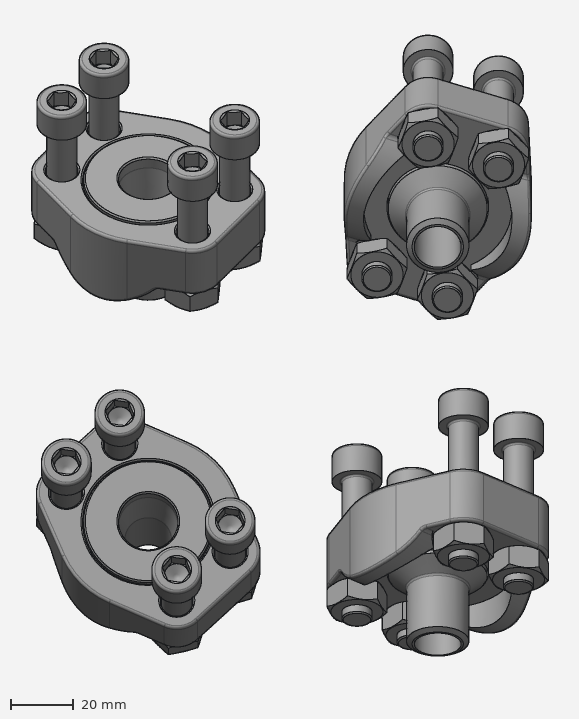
import cadquery as cq
import math


bolt_spacing_x = 50.8
bolt_spacing_y = 23.8
bolt_x = bolt_spacing_x / 2
bolt_y = bolt_spacing_y / 2
bolt_points = [(sx * bolt_x, sy * bolt_y) for sx in (-1, 1) for sy in (-1, 1)]

flange_width = 70.05
flange_length = 59.9
flange_thickness = 18.9
flange_half_width = flange_width / 2
flange_lobe_radius = flange_length / 2
flange_corner_radius = flange_half_width - bolt_x
flange_edge_radius = 1.0

boss_depth = 9.6
boss_radius = 24.9
boss_root_fillet = 2.0
underside_recess_radius = 23.7
nut_seat_diameter = 20.0

clearance_hole_diameter = 10.5
hole_chamfer = 0.5
disc_recess_diameter = 42.0
neck_bore_diameter = 32.5

disc_diameter = 41.3
disc_thickness = 10.6
disc_projection = 0.6
neck_diameter = 31.6
neck_end_z = -0.9
pipe_diameter = 20.0
taper_end_z = -5.5
taper_fillet = 1.0
pipe_end_z = -25.5
insert_chamfer = 0.5
weld_bevel_height = 1.05
weld_bevel_width = 1.8
mouth_diameter = 19.0
mouth_depth = 4.3
bore_diameter = 15.0
bore_taper_length = 14.0

shank_diameter = 9.7
head_diameter = 16.0
head_height = 10.0
head_edge_radius = 1.0
head_top_z = 49.1
shank_length = 50.0
neck_fillet = 0.6
tip_chamfer = 0.45
socket_flats = 8.0
socket_depth = 6.0
socket_chamfer_diameter = 9.5
socket_chamfer_angle = 30.0
socket_turn = 37.5
drill_point_angle = 120.0

nut_flats = 17.0
nut_height = 8.0
nut_face_diameter = 16.7
nut_chamfer_angle = 30.0


def cylinder(diameter, z_bottom, z_top):
    """Cylinder on the Z axis between two heights."""
    return cq.Workplane("XY", origin=(0, 0, z_bottom)).circle(diameter / 2).extrude(z_top - z_bottom)


def cone(diameter_bottom, diameter_top, z_bottom, z_top):
    """Cone or frustum on the Z axis between two heights."""
    height = z_top - z_bottom
    solid = cq.Solid.makeCone(diameter_bottom / 2, diameter_top / 2, height, cq.Vector(0, 0, z_bottom))
    return cq.Workplane(obj=solid)


def across_corners(across_flats):
    """Corner-to-corner width of a hexagon."""
    return across_flats / math.cos(math.pi / 6)


def hexagon(across_flats, z_bottom, height):
    """Hexagonal prism on the Z axis with two corners in the XZ plane."""
    corner_diameter = across_corners(across_flats)
    return cq.Workplane("XY", origin=(0, 0, z_bottom)).polygon(6, corner_diameter).extrude(height)


def edges_between(z_bottom, z_top):
    """Selector for edges whose centre lies between two heights."""
    reach = flange_width
    margin = 0.1
    return cq.selectors.BoxSelector((-reach, -reach, z_bottom - margin), (reach, reach, z_top + margin))


def flange_outline(z_bottom, height):
    """Lobe arcs and bolt corner arcs joined by their common tangents."""
    centre_distance = math.hypot(bolt_x, bolt_y)
    radius_step = flange_lobe_radius - flange_corner_radius
    tangent_angle = math.atan2(bolt_y, bolt_x) + math.acos(radius_step / centre_distance)
    ux, uy = math.cos(tangent_angle), math.sin(tangent_angle)
    lobe_x, lobe_y = flange_lobe_radius * ux, flange_lobe_radius * uy
    corner_x, corner_y = bolt_x + flange_corner_radius * ux, bolt_y + flange_corner_radius * uy
    mid_x = bolt_x + flange_corner_radius * math.cos(tangent_angle / 2)
    mid_y = bolt_y + flange_corner_radius * math.sin(tangent_angle / 2)
    return (
        cq.Workplane("XY", origin=(0, 0, z_bottom))
        .moveTo(flange_half_width, -bolt_y)
        .lineTo(flange_half_width, bolt_y)
        .threePointArc((mid_x, mid_y), (corner_x, corner_y))
        .lineTo(lobe_x, lobe_y)
        .threePointArc((0, flange_lobe_radius), (-lobe_x, lobe_y))
        .lineTo(-corner_x, corner_y)
        .threePointArc((-mid_x, mid_y), (-flange_half_width, bolt_y))
        .lineTo(-flange_half_width, -bolt_y)
        .threePointArc((-mid_x, -mid_y), (-corner_x, -corner_y))
        .lineTo(-lobe_x, -lobe_y)
        .threePointArc((0, -flange_lobe_radius), (lobe_x, -lobe_y))
        .lineTo(corner_x, -corner_y)
        .threePointArc((mid_x, -mid_y), (flange_half_width, -bolt_y))
        .close()
        .extrude(height)
    )


def flange_side_profile():
    """Block with a flat underside and an arc boss in the middle, extruded along Y."""
    arc_centre_z = boss_radius - boss_depth
    boss_half_width = math.sqrt(boss_radius**2 - arc_centre_z**2)
    block = (
        cq.Workplane("XZ")
        .moveTo(-flange_half_width, flange_thickness)
        .lineTo(-flange_half_width, 0)
        .lineTo(-boss_half_width, 0)
        .threePointArc((0, -boss_depth), (boss_half_width, 0))
        .lineTo(flange_half_width, 0)
        .lineTo(flange_half_width, flange_thickness)
        .close()
        .extrude(flange_lobe_radius, both=True)
    )
    for side in (-1, 1):
        root_edge = cq.selectors.NearestToPointSelector((side * boss_half_width, 0, 0))
        block = block.edges("|Y").edges(root_edge).fillet(boss_root_fillet)
    return block


def countersink(hole_diameter):
    """Cutter for the 45 degree chamfer of a hole in the flange's top face."""
    rim_diameter = hole_diameter + 2 * hole_chamfer
    return cone(hole_diameter, rim_diameter, flange_thickness - hole_chamfer, flange_thickness)


def make_flange():
    body = flange_outline(-boss_depth, boss_depth + flange_thickness).intersect(flange_side_profile())
    body = body.faces(">Z").edges().fillet(flange_edge_radius)
    underside_edges = edges_between(-boss_depth, 0)
    body = body.edges(underside_edges).edges("not(|Y)").fillet(flange_edge_radius)

    body = body.cut(cylinder(2 * underside_recess_radius, -boss_depth, 0))
    for x, y in bolt_points:
        body = body.cut(cylinder(nut_seat_diameter, -boss_depth, 0).translate((x, y, 0)))

    ledge_z = flange_thickness + disc_projection - disc_thickness
    body = body.cut(cylinder(neck_bore_diameter, 0, flange_thickness))
    body = body.cut(cylinder(disc_recess_diameter, ledge_z, flange_thickness))
    body = body.cut(countersink(disc_recess_diameter))

    hole = cylinder(clearance_hole_diameter, 0, flange_thickness)
    hole = hole.union(countersink(clearance_hole_diameter))
    for x, y in bolt_points:
        body = body.cut(hole.translate((x, y, 0)))
    return body


def make_insert():
    face_z = flange_thickness + disc_projection
    disc_back_z = face_z - disc_thickness
    disc = cylinder(disc_diameter, disc_back_z, face_z).faces(">Z").edges().chamfer(insert_chamfer)
    neck = cylinder(neck_diameter, neck_end_z, disc_back_z)
    taper = cone(pipe_diameter, neck_diameter, taper_end_z, neck_end_z)
    bevel_z = pipe_end_z + weld_bevel_height
    pipe = cylinder(pipe_diameter, bevel_z, taper_end_z)
    bevel = cone(pipe_diameter - 2 * weld_bevel_width, pipe_diameter, pipe_end_z, bevel_z)
    body = disc.union(neck).union(taper).union(pipe).union(bevel)
    body = body.edges(edges_between(taper_end_z, taper_end_z)).fillet(taper_fillet)

    mouth_z = face_z - mouth_depth
    taper_z = mouth_z - bore_taper_length
    body = body.cut(cylinder(mouth_diameter, mouth_z, face_z))
    rim_diameter = mouth_diameter + 2 * insert_chamfer
    body = body.cut(cone(mouth_diameter, rim_diameter, face_z - insert_chamfer, face_z))
    body = body.cut(cone(bore_diameter, mouth_diameter, taper_z, mouth_z))
    body = body.cut(cylinder(bore_diameter, pipe_end_z, taper_z))
    return body


def make_screw(x, y):
    seat_z = head_top_z - head_height
    tip_z = seat_z - shank_length
    shank_radius = shank_diameter / 2
    arc_offset = neck_fillet * (1 - math.sqrt(0.5))
    shank = (
        cq.Workplane("XZ")
        .moveTo(0, tip_z)
        .lineTo(shank_radius - tip_chamfer, tip_z)
        .lineTo(shank_radius, tip_z + tip_chamfer)
        .lineTo(shank_radius, seat_z - neck_fillet)
        .threePointArc((shank_radius + arc_offset, seat_z - arc_offset), (shank_radius + neck_fillet, seat_z))
        .lineTo(0, seat_z)
        .close()
        .revolve(360, (0, 0, 0), (0, 1, 0))
    )
    head = cylinder(head_diameter, seat_z, head_top_z).faces(">Z").edges().fillet(head_edge_radius)

    floor_z = head_top_z - socket_depth
    point_height = socket_flats / 2 / math.tan(math.radians(drill_point_angle / 2))
    mouth_width = (socket_chamfer_diameter - socket_flats) / 2
    mouth_height = mouth_width * math.tan(math.radians(socket_chamfer_angle))
    socket = hexagon(socket_flats, floor_z, socket_depth).rotate((0, 0, 0), (0, 0, 1), socket_turn)
    point = cone(0, socket_flats, floor_z - point_height, floor_z)
    mouth = cone(socket_flats, socket_chamfer_diameter, head_top_z - mouth_height, head_top_z)
    screw = shank.union(head).cut(socket).cut(point).cut(mouth)
    return screw.translate((x, y, 0))


def make_nut(x, y):
    corner_diameter = across_corners(nut_flats)
    corner_drop = (corner_diameter - nut_face_diameter) / 2 * math.tan(math.radians(nut_chamfer_angle))
    envelope = (
        cq.Workplane("XZ")
        .moveTo(0, 0)
        .lineTo(nut_face_diameter / 2, 0)
        .lineTo(corner_diameter / 2, -corner_drop)
        .lineTo(corner_diameter / 2, corner_drop - nut_height)
        .lineTo(nut_face_diameter / 2, -nut_height)
        .lineTo(0, -nut_height)
        .close()
        .revolve(360, (0, 0, 0), (0, 1, 0))
    )
    nut = hexagon(nut_flats, -nut_height, nut_height).intersect(envelope)
    return nut.cut(cylinder(shank_diameter, -nut_height, 0)).translate((x, y, 0))


flange = make_flange()
insert = make_insert()
screws = [make_screw(x, y) for x, y in bolt_points]
nuts = [make_nut(x, y) for x, y in bolt_points]

bodies = [flange, insert, *screws, *nuts]
result = cq.Compound.makeCompound([body.solids().val() for body in bodies])